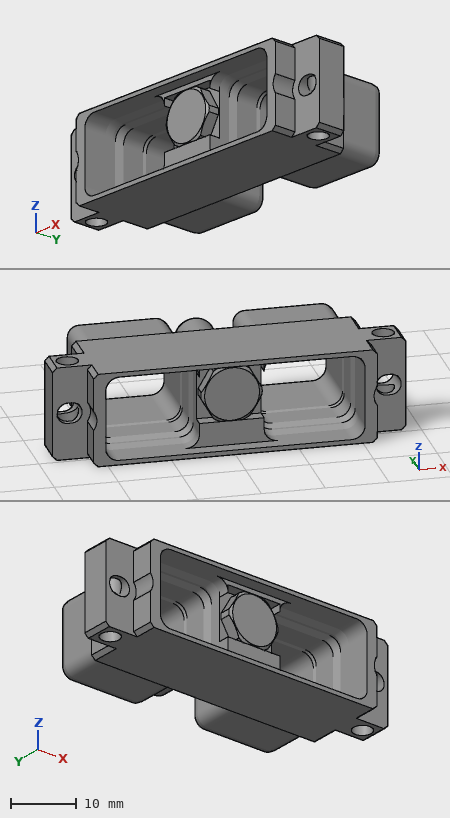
import cadquery as cq
import math

EAR_SPAN = 55.38
HEIGHT = 15.14
TOTAL_DEPTH = 26.67

BODY_WIDTH = 44.45
BODY_DEPTH = 14.2
EDGE_CHAMFER = 0.7
EAR_FRONT = 4.06
EAR_DEPTH = 5.08

SLOT_WIDTH = 3.9
SLOT_HEIGHT = 3.3
SLOT_X = 25.0
CROSS_HOLE_DIAMETER = 3.4
CROSS_HOLE_X = 24.75
CLEARANCE_DEPTH = 0.5
CLEARANCE_CHORD = 3.1

SHELL_X = 12.98
SHELL_WIDTH = 15.88
SHELL_HEIGHT = 13.5
SHELL_RADIUS = 2.0
SHELL_REAR = 23.0
SHELL_END_LENGTH = 0.86
SHELL_END_INSET = 0.15

POCKET_X = 12.69
POCKET_WIDTH = 15.24
POCKET_HEIGHT = 13.6
POCKET_RADIUS = 2.1
FLOOR_STEP = 0.35
FLOOR_STEP_START = 4.4
FLOOR_STEP_END = 5.9
WALL_STEP = 0.4
WALL_STEP_START = 6.4
WALL_STEP_END = 7.7
LIP_STEP = 0.16
LIP_START = 11.8
LIP_END = 12.3

BRIDGE_FRONT = 2.36
SEAT_Y = 4.4
SEAT_BOTTOM = -2.9
SEAT_TOP = 6.0

SCREW_Z = 1.52
SCREW_DIAMETER = 6.3
SCREW_END_CHAMFER = 0.2
HEAD_FLATS = 8.8
HEAD_CORNERS = 9.6
HEAD_FACE_DIAMETER = 8.6
HEAD_FRONT = 2.2
HEAD_CHAMFER_ANGLE = 30

PIN_Y = 23.67
PIN_DIAMETER = 2.2
PIN_X = 3.6

SIDES = (-1, 1)


def box(width, y_start, y_end, z_bottom, z_top, x=0.0):
    """Block centred on x, between two Y planes and two Z levels."""
    size = (width, y_end - y_start, z_top - z_bottom)
    return cq.Workplane("XY").box(*size).translate((x, (y_start + y_end) / 2, (z_bottom + z_top) / 2))


def section(y):
    """Workplane across the part, at distance y from the mouth."""
    return cq.Workplane("XZ", origin=(0, y, 0))


def rounded_prism(width, height, radius, y_start, y_end, x=0.0):
    prism = box(width, y_start, y_end, -height / 2, height / 2, x)
    return prism.edges("|Y").fillet(radius)


def rod(diameter, y_start, y_end, x=0.0, z=0.0):
    return section(y_start).center(x, z).circle(diameter / 2).extrude(y_start - y_end)


def rounded_outline(width, height, radius):
    return cq.Sketch().rect(width, height).vertices().fillet(radius)


def ramp(start_size, end_size, y_start, y_end, x):
    """Rounded pocket length that changes from one (width, height) to another."""
    start = rounded_outline(*start_size, POCKET_RADIUS)
    end = rounded_outline(*end_size, POCKET_RADIUS).moved(cq.Location(cq.Vector(0, 0, y_start - y_end)))
    return section(y_start).center(x, 0).placeSketch(start, end).loft()


def body():
    half = HEIGHT / 2
    block = box(BODY_WIDTH, 0, BODY_DEPTH, -half, half).edges("|Y").chamfer(EDGE_CHAMFER)
    ears = box(EAR_SPAN, EAR_FRONT, EAR_FRONT + EAR_DEPTH, -half, half).edges("|Y").chamfer(EDGE_CHAMFER)
    return block.union(ears)


def ear_cuts(side):
    """Slot along Y, hole along Z and the screw clearance grooves for one ear."""
    ear_rear = EAR_FRONT + EAR_DEPTH
    slot = (
        section(EAR_FRONT)
        .center(side * SLOT_X, 0)
        .slot2D(SLOT_WIDTH, SLOT_HEIGHT)
        .extrude(-EAR_DEPTH)
    )
    hole = (
        cq.Workplane("XY", origin=(side * CROSS_HOLE_X, EAR_FRONT + EAR_DEPTH / 2, -HEIGHT / 2))
        .circle(CROSS_HOLE_DIAMETER / 2)
        .extrude(HEIGHT)
    )
    radius = (CLEARANCE_CHORD**2 / 4 + CLEARANCE_DEPTH**2) / (2 * CLEARANCE_DEPTH)
    centre_x = side * (BODY_WIDTH / 2 - CLEARANCE_DEPTH + radius)
    cuts = slot.union(hole)
    for y_start, y_end in ((0, EAR_FRONT), (ear_rear, BODY_DEPTH)):
        cuts = cuts.union(rod(2 * radius, y_start, y_end, centre_x))
    return cuts


def shell(side):
    """Rounded box behind the body with a slightly tapered rear end."""
    taper_start = SHELL_REAR - SHELL_END_LENGTH
    straight = rounded_prism(SHELL_WIDTH, SHELL_HEIGHT, SHELL_RADIUS, BODY_DEPTH, taper_start, side * SHELL_X)
    angle = math.degrees(math.atan2(SHELL_END_INSET, SHELL_END_LENGTH))
    outline = rounded_outline(SHELL_WIDTH, SHELL_HEIGHT, SHELL_RADIUS)
    end = section(taper_start).center(side * SHELL_X, 0).placeSketch(outline)
    return straight.union(end.extrude(-SHELL_END_LENGTH, taper=angle))


def pocket(side):
    """Opening through one half, narrowing towards the rear in three ramped steps."""
    x = side * POCKET_X
    middle_height = POCKET_HEIGHT - 2 * FLOOR_STEP
    inner_width = POCKET_WIDTH - 2 * WALL_STEP
    inner_height = middle_height - 2 * WALL_STEP
    mouth = (POCKET_WIDTH, POCKET_HEIGHT)
    middle = (POCKET_WIDTH, middle_height)
    inner = (inner_width, inner_height)
    rear = (inner_width - 2 * LIP_STEP, inner_height - 2 * LIP_STEP)

    straight_lengths = (
        (mouth, 0, FLOOR_STEP_START),
        (middle, FLOOR_STEP_END, WALL_STEP_START),
        (inner, WALL_STEP_END, LIP_START),
        (rear, LIP_END, SHELL_REAR),
    )
    ramps = (
        (mouth, middle, FLOOR_STEP_START, FLOOR_STEP_END),
        (middle, inner, WALL_STEP_START, WALL_STEP_END),
        (inner, rear, LIP_START, LIP_END),
    )
    opening = cq.Workplane("XY")
    for size, y_start, y_end in straight_lengths:
        opening = opening.add(rounded_prism(*size, POCKET_RADIUS, y_start, y_end, x))
    for start_size, end_size, y_start, y_end in ramps:
        opening = opening.add(ramp(start_size, end_size, y_start, y_end, x))
    return opening.combine()


def bridge_cuts():
    """Clears the mouth in front of the bridge and the notch that seats the screw head."""
    mouth_width = 2 * POCKET_X + POCKET_WIDTH
    mouth = rounded_prism(mouth_width, POCKET_HEIGHT, POCKET_RADIUS, 0, BRIDGE_FRONT)
    notch = box(2 * POCKET_X - POCKET_WIDTH, BRIDGE_FRONT, SEAT_Y, SEAT_BOTTOM, SEAT_TOP)
    return mouth.union(notch)


def jack_screw():
    shank = rod(SCREW_DIAMETER, SEAT_Y, TOTAL_DEPTH, z=SCREW_Z).faces(">Y").chamfer(SCREW_END_CHAMFER)
    hexagon = section(HEAD_FRONT).center(0, SCREW_Z).polygon(6, HEAD_FLATS / math.cos(math.pi / 6))
    head = hexagon.extrude(HEAD_FRONT - SEAT_Y)
    chamfer_width = (HEAD_CORNERS - HEAD_FACE_DIAMETER) / 2
    chamfer_depth = chamfer_width * math.tan(math.radians(HEAD_CHAMFER_ANGLE))
    blank = rod(HEAD_CORNERS, HEAD_FRONT, SEAT_Y, z=SCREW_Z).faces("<Y").chamfer(chamfer_depth, chamfer_width)
    return shank.union(head.intersect(blank))


def retaining_pin():
    return (
        cq.Workplane("YZ", origin=(0, PIN_Y, SCREW_Z))
        .circle(PIN_DIAMETER / 2)
        .extrude(PIN_X)
    )


result = body()
for side in SIDES:
    result = result.union(shell(side))
for side in SIDES:
    result = result.cut(pocket(side)).cut(ear_cuts(side))
result = result.cut(bridge_cuts()).union(jack_screw()).union(retaining_pin())